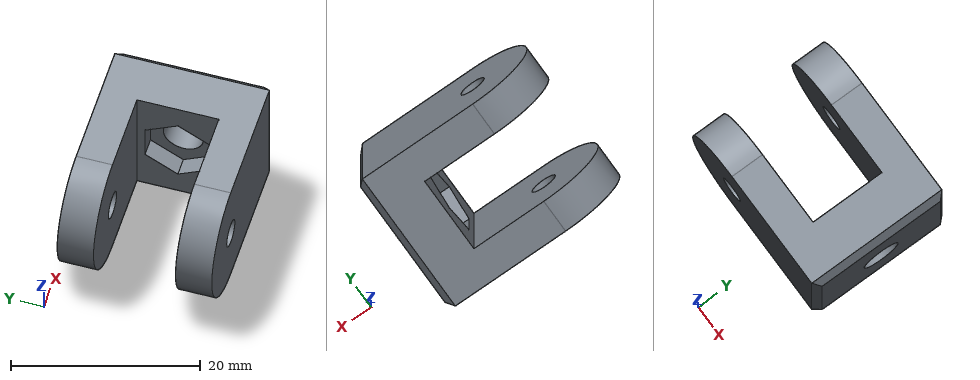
import cadquery as cq
import math

length = 22.0
width = 17.0
height = 14.0
arm_thickness = 4.0
slot_depth = 16.0
base_chamfer = 0.8
pin_diameter = 3.0
bolt_diameter = 4.4
nut_across_flats = 7.22
nut_depth = 2.0

end_radius = height / 2
slot_width = width - 2 * arm_thickness
nut_across_corners = nut_across_flats / math.cos(math.pi / 6)


def clevis_body():
    """Block with one full-round end, chamfered around the flat end."""
    profile = (
        cq.Workplane("XZ")
        .moveTo(length, -end_radius)
        .lineTo(length, end_radius)
        .lineTo(end_radius, end_radius)
        .threePointArc((0, 0), (end_radius, -end_radius))
        .close()
    )
    body = profile.extrude(width / 2, both=True)
    return body.faces(">X").edges().chamfer(base_chamfer)


def arm_slot():
    """Gap between the two arms, open at the rounded end."""
    return cq.Workplane("XY").box(slot_depth, slot_width, height, centered=(False, True, True))


def pin_hole():
    """Cross hole through both arms, concentric with their round ends."""
    return (
        cq.Workplane("XZ")
        .center(end_radius, 0)
        .circle(pin_diameter / 2)
        .extrude(width / 2, both=True)
    )


def bolt_hole():
    """Hole along X through the base."""
    return (
        cq.Workplane("YZ", origin=(slot_depth, 0, 0))
        .circle(bolt_diameter / 2)
        .extrude(length - slot_depth)
    )


def nut_pocket():
    """Hexagonal recess in the slot floor, with corners pointing up and down."""
    return (
        cq.Workplane("YZ", origin=(slot_depth, 0, 0))
        .transformed(rotate=(0, 0, 90))
        .polygon(6, nut_across_corners)
        .extrude(nut_depth)
    )


result = clevis_body().cut(arm_slot()).cut(pin_hole()).cut(bolt_hole()).cut(nut_pocket())